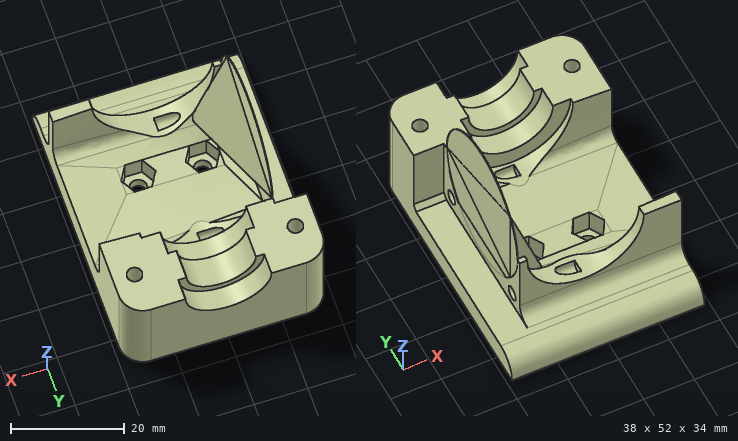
import cadquery as cq
import math

WIDTH = 38.0
LENGTH = 52.0
HEIGHT = 20.0
BASE_HEIGHT = 5.0
BACK_CORNER_RADIUS = 4.5

TOE_RADIUS = 4.5
WALL_FILLET = 3.0
WALL_Y = 9.0

SEAT_X = 6.0
SEAT_BACK_Y = 39.0
SEAT_CHAMFER = 1.0

FAN_Y = 24.0
FAN_Z = HEIGHT
FAN_RADIUS = 14.0
WEB_THICKNESS = 0.15

RIB_FRONT_Y = 13.0
RIB_APEX_X = 13.0
RIB_APEX_Z = 9.0

OUTLET_HALF_WIDTH = 12.75
OUTLET_FLOOR_Z = 7.4
OUTLET_RADIUS = 2.3

INLET_WALL_Z = 11.0
INLET_FLOOR_Z = 9.5

FAN_HOLE_SPACING = 24.0
FAN_HOLE_DIAMETER = 2.8
FAN_HOLE_DEPTH = WIDTH / 2 - SEAT_X

MOUNT_X = WIDTH / 2
HEATSINK_RADIUS = 11.5
HEATSINK_END_Y = FAN_Y + FAN_RADIUS
COLLAR_RADIUS = 8.0
NECK_RADIUS = 6.45
NECK_START_Y = 42.4
NECK_END_Y = 48.0

CLAMP_HOLE_DIAMETER = 2.8
CLAMP_HOLE_SPACING = 30.0
CLAMP_HOLE_Y = 44.5

BOLT_DIAMETER = 3.2
BOLT_SPACING = 12.0
BOLT_Y = 20.0
NUT_SIDES = 6
NUT_CORNER_DIAMETER = 6.4
NUT_SEAT_Z = 2.5

PAD_Z = 7.15


def make_body():
    """Side profile extruded along X, with the two back corners rounded."""
    toe_top_z = BASE_HEIGHT - TOE_RADIUS
    toe_mid = TOE_RADIUS * (1 - math.sqrt(0.5))
    fillet_mid = WALL_FILLET * (1 - math.sqrt(0.5))
    profile = (
        cq.Workplane("YZ")
        .moveTo(0, 0)
        .lineTo(0, toe_top_z)
        .threePointArc((toe_mid, BASE_HEIGHT - toe_mid), (TOE_RADIUS, BASE_HEIGHT))
        .lineTo(WALL_Y - WALL_FILLET, BASE_HEIGHT)
        .threePointArc(
            (WALL_Y - fillet_mid, BASE_HEIGHT + fillet_mid),
            (WALL_Y, BASE_HEIGHT + WALL_FILLET),
        )
        .lineTo(WALL_Y, HEIGHT)
        .lineTo(LENGTH, HEIGHT)
        .lineTo(LENGTH, 0)
        .close()
    )
    return profile.extrude(WIDTH).edges("|Z and >Y").fillet(BACK_CORNER_RADIUS)


def make_seat_cut():
    """Step for the fan, with a chamfer along its back bottom edge."""
    return (
        cq.Workplane("YZ")
        .moveTo(0, BASE_HEIGHT)
        .lineTo(SEAT_BACK_Y - SEAT_CHAMFER, BASE_HEIGHT)
        .lineTo(SEAT_BACK_Y, BASE_HEIGHT + SEAT_CHAMFER)
        .lineTo(SEAT_BACK_Y, HEIGHT)
        .lineTo(0, HEIGHT)
        .close()
        .extrude(SEAT_X)
    )


def planar_face(*edges):
    return cq.Face.makeFromWires(cq.Wire.assembleEdges(edges))


def inlet_point(side, z):
    """Point on the rim of the fan opening at height z; side is -1 or 1 along Y."""
    half_chord = math.sqrt(FAN_RADIUS**2 - (z - FAN_Z) ** 2)
    return cq.Vector(SEAT_X, FAN_Y + side * half_chord, z)


def inlet_edges(side):
    """Two arcs of the rim, from the top face down to the duct floor."""
    heights = [FAN_Z, INLET_WALL_Z, INLET_FLOOR_Z]
    arcs = []
    for top_z, low_z in zip(heights, heights[1:]):
        mid = inlet_point(side, (top_z + low_z) / 2)
        arcs.append(cq.Edge.makeThreePointArc(inlet_point(side, top_z), mid, inlet_point(side, low_z)))
    return arcs


def outlet_edges(side):
    """Upright wall and rounded bottom corner of the outlet."""
    corner_y = OUTLET_HALF_WIDTH - OUTLET_RADIUS
    corner_z = OUTLET_FLOOR_Z + OUTLET_RADIUS
    reach = OUTLET_RADIUS * math.sqrt(0.5)
    top = cq.Vector(WIDTH, FAN_Y + side * OUTLET_HALF_WIDTH, HEIGHT)
    wall_end = cq.Vector(WIDTH, top.y, corner_z)
    corner_mid = cq.Vector(WIDTH, FAN_Y + side * (corner_y + reach), corner_z - reach)
    floor_end = cq.Vector(WIDTH, FAN_Y + side * corner_y, OUTLET_FLOOR_Z)
    wall = cq.Edge.makeLine(top, wall_end)
    corner = cq.Edge.makeThreePointArc(wall_end, corner_mid, floor_end)
    return [wall, corner]


def closed_section(section_edges):
    """Outline of a duct end: one side, the floor, the other side and the top."""
    left = section_edges(-1)
    right = section_edges(1)
    floor = cq.Edge.makeLine(left[-1].endPoint(), right[-1].endPoint())
    top = cq.Edge.makeLine(left[0].startPoint(), right[0].startPoint())
    return [*left, *right, floor, top]


def make_duct():
    """Straight-ruled transition from the round inlet to the channel outlet."""
    inlet = closed_section(inlet_edges)
    outlet = closed_section(outlet_edges)
    faces = [planar_face(*inlet), planar_face(*outlet)]
    for start, end in zip(inlet, outlet):
        faces.append(cq.Face.makeRuledSurface(start, end))
    return cq.Workplane(cq.Solid.makeSolid(cq.Shell.makeShell(faces)).fix())


def make_floor_dish():
    """Shallow dish from the edges of the duct floor down to the nut pad."""
    pad_half_length = (BOLT_SPACING + NUT_CORNER_DIAMETER) / 2
    pad_half_width = NUT_CORNER_DIAMETER / 2 * math.cos(math.pi / NUT_SIDES)
    inlet_front, inlet_back = (inlet_edges(side)[-1].endPoint() for side in (-1, 1))
    outlet_front, outlet_back = (outlet_edges(side)[-1].endPoint() for side in (-1, 1))
    rim_corners = [inlet_front, outlet_front, outlet_back, inlet_back]
    pad_signs = [(-1, -1), (1, -1), (1, 1), (-1, 1)]
    pad_corners = [
        cq.Vector(MOUNT_X + x_sign * pad_half_length, BOLT_Y + y_sign * pad_half_width, PAD_Z)
        for x_sign, y_sign in pad_signs
    ]
    rim = cq.Wire.makePolygon(rim_corners, close=True).Edges()
    pad = cq.Wire.makePolygon(pad_corners, close=True).Edges()
    faces = [planar_face(*rim), planar_face(*pad)]
    for rim_edge, pad_edge in zip(rim, pad):
        faces.append(cq.Face.makeRuledSurface(rim_edge, pad_edge))
    return cq.Workplane(cq.Solid.makeSolid(cq.Shell.makeShell(faces)).fix())


def make_web():
    """Thin disc filling the fan opening, at the inlet end of the duct."""
    return (
        cq.Workplane("YZ", origin=(SEAT_X, FAN_Y, FAN_Z))
        .circle(FAN_RADIUS)
        .extrude(WEB_THICKNESS)
    )


def make_rib():
    """Four-sided rib that runs from the web down into the duct."""
    rib_rise = math.sqrt(FAN_RADIUS**2 - (FAN_Y - RIB_FRONT_Y) ** 2)
    base_x = SEAT_X + WEB_THICKNESS
    back = cq.Vector(base_x, FAN_Y + FAN_RADIUS, FAN_Z)
    top = cq.Vector(base_x, RIB_FRONT_Y, FAN_Z + rib_rise)
    bottom = cq.Vector(base_x, RIB_FRONT_Y, FAN_Z - rib_rise)
    apex = cq.Vector(RIB_APEX_X, RIB_FRONT_Y, RIB_APEX_Z)
    corners = [(back, top, bottom), (back, top, apex), (top, bottom, apex), (bottom, back, apex)]
    faces = [cq.Face.makeFromWires(cq.Wire.makePolygon(points, close=True)) for points in corners]
    return cq.Workplane(cq.Solid.makeSolid(cq.Shell.makeShell(faces)).fix())


def channel(radius, start_y, end_y):
    """Round cutter along Y, centred on the top face."""
    return (
        cq.Workplane("XZ", origin=(MOUNT_X, start_y, HEIGHT))
        .circle(radius)
        .extrude(start_y - end_y)
    )


def cut_mount(body):
    body = body.cut(channel(HEATSINK_RADIUS, 0, HEATSINK_END_Y))
    body = body.cut(channel(COLLAR_RADIUS, HEATSINK_END_Y, NECK_START_Y))
    body = body.cut(channel(NECK_RADIUS, NECK_START_Y, NECK_END_Y))
    return body.cut(channel(COLLAR_RADIUS, NECK_END_Y, LENGTH))


def cut_holes(body):
    for side in (-1, 1):
        fan_hole = (
            cq.Workplane("YZ", origin=(SEAT_X, FAN_Y, FAN_Z))
            .center(side * FAN_HOLE_SPACING / 2, -FAN_HOLE_SPACING / 2)
            .circle(FAN_HOLE_DIAMETER / 2)
            .extrude(FAN_HOLE_DEPTH)
        )
        clamp_hole = (
            cq.Workplane("XY")
            .center(MOUNT_X + side * CLAMP_HOLE_SPACING / 2, CLAMP_HOLE_Y)
            .circle(CLAMP_HOLE_DIAMETER / 2)
            .extrude(HEIGHT)
        )
        bolt = cq.Workplane("XY").center(MOUNT_X + side * BOLT_SPACING / 2, BOLT_Y)
        bolt_hole = bolt.circle(BOLT_DIAMETER / 2).extrude(HEIGHT)
        nut_trap = (
            bolt.workplane(offset=NUT_SEAT_Z)
            .polygon(NUT_SIDES, NUT_CORNER_DIAMETER)
            .extrude(HEIGHT - NUT_SEAT_Z)
        )
        body = body.cut(fan_hole).cut(clamp_hole).cut(bolt_hole).cut(nut_trap)
    return body


body = make_body().cut(make_seat_cut()).cut(make_duct().union(make_floor_dish()))
body = cut_mount(body)
body = cut_holes(body)
result = body.union(make_web()).union(make_rib())